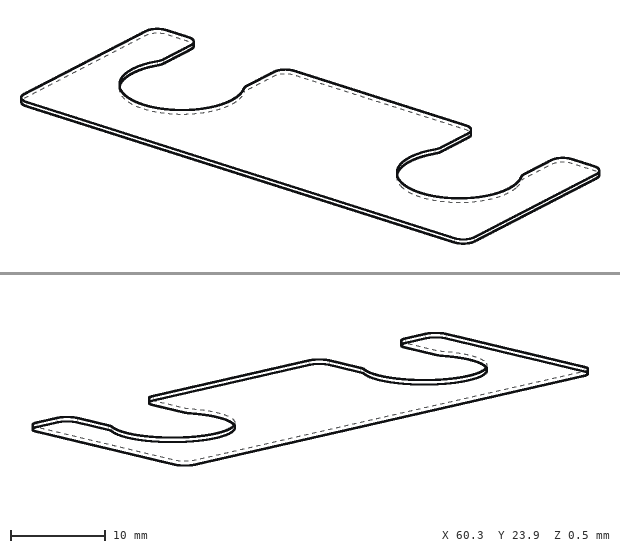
import cadquery as cq

length = 60.3
width = 23.85
thickness = 0.5
corner_radius = 1.5

notch_spacing = 37.15
notch_width = 11.15
hole_diameter = 13.2
hole_depth = 10.15

back_edge = width / 2


def notch_points(depth):
    """Points on both notch centrelines, the given depth below the +Y edge."""
    return [(side * notch_spacing / 2, back_edge - depth) for side in (-1, 1)]


def make_notches():
    """Two straight slots, each ending in a wider round seat."""
    slots = (
        cq.Workplane("XY")
        .pushPoints(notch_points(hole_depth / 2))
        .rect(notch_width, hole_depth)
        .extrude(thickness, both=True)
    )
    seats = (
        cq.Workplane("XY")
        .pushPoints(notch_points(hole_depth))
        .circle(hole_diameter / 2)
        .extrude(thickness, both=True)
    )
    return slots.union(seats)


plate = cq.Workplane("XY").box(length, width, thickness).cut(make_notches())

outer_edges = plate.faces("<Y or >Y").edges("|Z")
transition_edges = plate.faces("%CYLINDER").edges("|Z")
result = outer_edges.add(transition_edges).fillet(corner_radius)